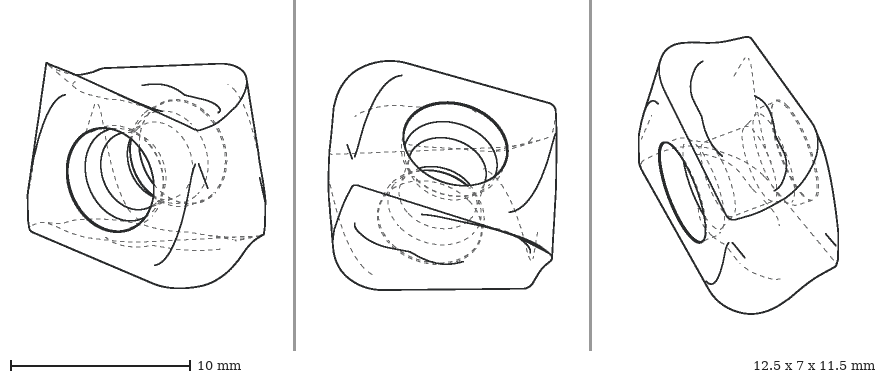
import cadquery as cq
import math


thickness = 7.0
half_thickness = thickness / 2
reach = 7.49

flank_lean = 0.25
nose_radius = 3.35
nose_x = -2.83
nose_y = -1.27
strip_angle = 2.7
facet_angle = 91.5
facet_slope = math.tan(math.radians(facet_angle - 90))

end_x = 6.31
end_slope_y = 0.135
end_slope_z = -0.024
flat_corner_radius = 0.37
facet_corner_radius = 0.47

tip_z = 4.55
nose_heights = [(9, 4.88), (20, 5.17), (32, 5.43), (45, 5.62), (58, 5.72), (72, 5.75)]
nose_split = 3
nose_end_z = 5.64
edge_drop = 0.206
edge_end_x = 5.37
corner_mid = (5.65, -3.3, 3.85)
end_edge_heights = [(-3.06, 3.76), (-2.5, 3.78), (-1.82, 3.85), (-0.72, 4.22)]

floor_z = 3.99
floor_tip = (-5.07, 0.24)
floor_nose = [(-4.92, -0.17), (-4.57, -0.57), (-3.9, -1.07)]
floor_nose_end = (-2.82, -1.45)
floor_step = (-1.54, -1.55)
floor_corner_start = (4.49, -1.98)
floor_corner_mid = (4.74, -1.9)
floor_end = [(4.84, -1.75), (4.9, -1.44), (4.95, -1.06), (5.02, -0.62)]
rake_overshoot = 1.25

bump_width = 3.05
bump_height = 0.21
bump_foot_radius = 0.25
bump_root = 0.12

bore_radius = 2.22
mouth = (3.0, half_thickness)
mouth_chamfer = (2.95, 3.43)
seat_top = (2.92, 2.61)
seat_mid = (2.83, 2.35)
seat_bottom = (2.66, 2.17)
cone_top = (2.56, 2.02)
cone_bottom = (2.3, 1.46)
bore_top = (bore_radius, 1.29)


def nose_point(angle):
    """Point on the nose arc at Z = 0, angle in degrees from -X toward -Y."""
    a = math.radians(angle)
    return (nose_x - nose_radius * math.cos(a), nose_y - nose_radius * math.sin(a))


def lean(point, z):
    """Carry a flank point from Z = 0 up to height z."""
    return (point[0], point[1] + flank_lean * z, z)


def strip_point(y):
    """Point on the straight flank that runs along Y from the nose."""
    start = nose_point(strip_angle)
    return (start[0] - (y - start[1]) * math.tan(math.radians(strip_angle)), y)


def facet_point(x):
    """Point on the straight flank that runs along X from the nose."""
    start = nose_point(facet_angle)
    return (x, start[1] + (x - start[0]) * facet_slope)


def end_plane_x(y, z=0):
    return end_x + end_slope_y * y + end_slope_z * z


def oblique_prism(profile, direction):
    """Sweep an XY profile through the full height along a slanted direction."""
    dx, dy = direction
    wire = profile.translate((-dx * reach, -dy * reach, -reach)).val()
    return cq.Solid.extrudeLinear(wire, [], cq.Vector(dx, dy, 1) * (2 * reach))


def flank_body():
    profile = (
        cq.Workplane("XY")
        .moveTo(*strip_point(2 * reach))
        .lineTo(*nose_point(strip_angle))
        .threePointArc(nose_point((strip_angle + facet_angle) / 2), nose_point(facet_angle))
        .lineTo(*facet_point(2 * reach))
        .lineTo(2 * reach, 2 * reach)
        .close()
    )
    return cq.Workplane(obj=oblique_prism(profile, (0, flank_lean)))


def rounded_end(radius, wall_y, wall_slope, wall_lean):
    """Body bounded by the end plane and a wall on the -Y side, with a round between them.

    The wall is the plane y = wall_y + wall_slope * x + wall_lean * z.
    """
    shared = 1 - wall_slope * end_slope_y
    corner_y = (wall_y + wall_slope * end_x) / shared
    corner = (end_plane_x(corner_y), corner_y)
    edge_lean_y = (wall_lean + wall_slope * end_slope_z) / shared
    edge_lean_x = end_slope_y * edge_lean_y + end_slope_z
    far_x = -2 * reach
    block = (
        cq.Workplane("XY")
        .moveTo(far_x, wall_y + wall_slope * far_x)
        .lineTo(*corner)
        .lineTo(end_plane_x(reach), reach)
        .lineTo(far_x, reach)
        .close()
    )
    prism = cq.Workplane(obj=oblique_prism(block, (edge_lean_x, edge_lean_y)))
    corner_edge = cq.selectors.NearestToPointSelector((*corner, 0))
    return prism.edges(corner_edge).fillet(radius)


def half_turns(body):
    """The four copies of a body under half turns about X, Y and Z."""
    origin = (0, 0, 0)
    turned = [body.rotate(origin, axis, 180) for axis in [(1, 0, 0), (0, 1, 0), (0, 0, 1)]]
    return [body] + turned


def curve(points):
    vectors = [cq.Vector(*p) for p in points]
    if len(vectors) == 2:
        return cq.Edge.makeLine(*vectors)
    return cq.Edge.makeSpline(vectors)


def rake_patches():
    """Matching (floor, cutting edge) point lists for the -Y half of the pocket."""
    tip = lean(strip_point(-flank_lean * tip_z), tip_z)
    far_tip = (-tip[0], -tip[1], tip_z)
    nose = [lean(nose_point(a), z) for a, z in nose_heights]
    nose_end_xy = nose_point(facet_angle)
    nose_end = lean(nose_end_xy, nose_end_z)
    edge_end_z = nose_end_z - edge_drop * (edge_end_x - nose_end_xy[0])
    edge_end = lean(facet_point(edge_end_x), edge_end_z)
    end_edge = [(end_plane_x(y, z), y, z) for y, z in end_edge_heights]
    far_floor_tip = (-floor_tip[0], -floor_tip[1])

    split = nose[nose_split]
    step_thirds = [
        tuple(a + (b - a) * t for a, b in zip(floor_nose_end, floor_step)) for t in (1 / 3, 2 / 3)
    ]
    floors = [
        [floor_tip, *floor_nose, floor_nose_end],
        [floor_nose_end, *step_thirds, floor_step],
        [floor_step, floor_corner_start],
        [floor_corner_start, floor_corner_mid, floor_end[0]],
        [*floor_end, far_floor_tip],
    ]
    edges = [
        [tip, *nose[:nose_split], split],
        [split, *nose[nose_split + 1:], nose_end],
        [nose_end, edge_end],
        [edge_end, corner_mid, end_edge[0]],
        [*end_edge, far_tip],
    ]
    return [([(x, y, floor_z) for x, y in f], e) for f, e in zip(floors, edges)]


def overshoot(low, high):
    return tuple(a + (b - a) * rake_overshoot for a, b in zip(low, high))


def pocket_cutter():
    faces = []
    floor_edges = []
    top_edges = []
    for floor_points, edge_points in rake_patches():
        outer_points = [overshoot(f, e) for f, e in zip(floor_points, edge_points)]
        for side in (1, -1):
            floor, outer = [
                curve([(side * x, side * y, z) for x, y, z in points])
                for points in (floor_points, outer_points)
            ]
            top = curve([(side * x, side * y, reach) for x, y, z in outer_points])
            faces.append(cq.Face.makeRuledSurface(floor, outer))
            faces.append(cq.Face.makeRuledSurface(outer, top))
            floor_edges.append(floor)
            top_edges.append(top)
    for edges in (floor_edges, top_edges):
        faces.append(cq.Face.makeFromWires(cq.Wire.combine(edges)[0]))
    return cq.Workplane(obj=cq.Solid.makeSolid(cq.Shell.makeShell(faces)))


def floor_bump():
    half = bump_width / 2
    return (
        cq.Workplane("XZ")
        .moveTo(-half, floor_z - bump_root)
        .lineTo(-half, floor_z)
        .threePointArc((0, floor_z + bump_height), (half, floor_z))
        .lineTo(half, floor_z - bump_root)
        .close()
        .extrude(reach, both=True)
    )


def screw_hole():
    profile = (
        cq.Workplane("XY")
        .lineTo(bore_radius, 0)
        .lineTo(*bore_top)
        .lineTo(*cone_bottom)
        .lineTo(*cone_top)
        .lineTo(*seat_bottom)
        .threePointArc(seat_mid, seat_top)
        .lineTo(*mouth_chamfer)
        .lineTo(*mouth)
        .lineTo(0, half_thickness)
        .close()
    )
    half_hole = profile.revolve(360, (0, 0, 0), (0, 1, 0))
    return half_hole.union(half_hole.mirror("XZ"))


end_at_flat = rounded_end(flat_corner_radius, -half_thickness, 0, 0)
end_at_facet = rounded_end(facet_corner_radius, facet_point(0)[1], facet_slope, flank_lean)

result = cq.Workplane("XY").box(2 * reach, 2 * half_thickness, 2 * reach)
for limit_body in (flank_body(), end_at_flat, end_at_facet):
    for limit in half_turns(limit_body):
        result = result.intersect(limit)

pocket = pocket_cutter().cut(floor_bump()).edges("|Y").fillet(bump_foot_radius)
result = result.cut(pocket).cut(pocket.rotate((0, 0, 0), (1, 0, 0), 180))
result = result.cut(screw_hole())